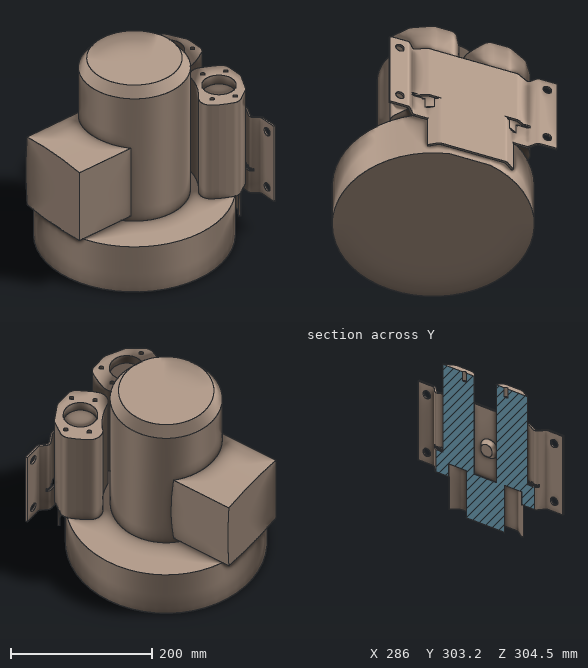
import cadquery as cq
import math


housing_radius = 143.0
housing_height = 78.0
housing_flat_y = 139.7

motor_radius = 79.5
cap_radius = 67.5
cap_height = 15.5
total_height = 304.5

box_front_y = -149.5
box_center_z = 145.2
box_half_height = 58.5
box_left_x = -58.5
box_right_x = 57.5
box_bulge = 3.5
box_side_bulge = 2.5

pipe_top = 239.5
pipe_x = 57.0
pipe_y = 108.5
pipe_half_width = 47.2
belly_half_width = 48.0
belly_start = -9.7
belly_end = 0.0
lobe_radius = 18.0
lobe_offset = 17.7
shoulder_outer = 19.5
crown_half_width = 17.5
crown_offset = 35.3
shoulder_radius = 14.5
bore_radius = 24.5
bore_depth = 15.2
screw_radius = 3.0
screw_spacing_wide = 63.3
screw_spacing_narrow = 33.5

sheet = 3.0
bend_radius = 6.0
bracket_bottom = 57.0
bracket_top = 187.0
tab_bottom = 3.7
slit_bottom = 94.5
slit_top = 98.3
slit_back_y = 143.0
ear_end_x = 127.5
ear_bend_x = 98.5
ear_y = 152.2
valley_x = 88.0
valley_y = 140.0
web_y = 150.0
upper_web_x = 68.2
lower_web_x = 50.5
tab_end_x = 64.8
mount_hole_x = 112.3
mount_hole_radius = 6.5
mount_hole_inset = 17.5

boss_base_radius = 16.5
boss_tip_radius = 10.0
boss_tip_y = 141.5


def make_housing():
    disc = cq.Workplane("XY").circle(housing_radius).extrude(housing_height)
    size = 2 * housing_radius
    keep = cq.Workplane("XY").box(size, size, housing_height, centered=(True, False, False))
    return disc.intersect(keep.translate((0, housing_flat_y - size, 0)))


def make_motor():
    body = cq.Workplane("XY").circle(motor_radius).extrude(total_height)
    return body.faces(">Z").chamfer(cap_height, motor_radius - cap_radius)


def make_terminal_box():
    low = box_center_z - box_half_height
    high = box_center_z + box_half_height
    middle_x = (box_left_x + box_right_x) / 2
    return (
        cq.Workplane("XZ")
        .moveTo(box_right_x, low)
        .lineTo(box_right_x, high)
        .threePointArc((middle_x, high + box_bulge), (box_left_x, high))
        .threePointArc((box_left_x - box_side_bulge, box_center_z), (box_left_x, low))
        .threePointArc((middle_x, low - box_bulge), (box_right_x, low))
        .close()
        .extrude(-box_front_y)
    )


def make_pipe():
    """Right-hand pipe, drawn with +Y pointing away from the motor, then swung into place."""
    motor_distance = math.hypot(pipe_x, pipe_y)
    lobe_x = pipe_half_width - lobe_radius
    lobe_rise = motor_distance - lobe_offset
    hollow_radius = math.hypot(lobe_x, lobe_rise) - lobe_radius
    lobe_angle = math.atan2(lobe_x, lobe_rise)
    hollow_end_x = hollow_radius * math.sin(lobe_angle)
    hollow_end_y = hollow_radius * math.cos(lobe_angle) - motor_distance
    middle_angle = -(math.pi / 2 - lobe_angle) / 2
    lobe_mid_x = lobe_x + lobe_radius * math.cos(middle_angle)
    lobe_mid_y = -lobe_offset + lobe_radius * math.sin(middle_angle)
    height = pipe_top - housing_height

    pipe = (
        cq.Workplane("XY")
        .moveTo(-hollow_end_x, hollow_end_y)
        .threePointArc((0, hollow_radius - motor_distance), (hollow_end_x, hollow_end_y))
        .threePointArc((lobe_mid_x, lobe_mid_y), (pipe_half_width, -lobe_offset))
        .lineTo(belly_half_width, belly_start)
        .lineTo(belly_half_width, belly_end)
        .lineTo(pipe_half_width, shoulder_outer)
        .lineTo(crown_half_width, crown_offset)
        .lineTo(-crown_half_width, crown_offset)
        .lineTo(-pipe_half_width, shoulder_outer)
        .lineTo(-belly_half_width, belly_end)
        .lineTo(-belly_half_width, belly_start)
        .lineTo(-pipe_half_width, -lobe_offset)
        .threePointArc((-lobe_mid_x, lobe_mid_y), (-hollow_end_x, hollow_end_y))
        .close()
        .extrude(height)
    )
    shoulders = cq.selectors.BoxSelector(
        (-2 * pipe_half_width, crown_offset / 2, 0), (2 * pipe_half_width, 2 * crown_offset, height)
    )
    pipe = pipe.edges("|Z").edges(shoulders).fillet(shoulder_radius)
    floor = cq.Workplane("XY").workplane(offset=height - bore_depth)
    screw_holes = floor.rarray(screw_spacing_wide, screw_spacing_narrow, 2, 2)
    pipe = pipe.cut(floor.circle(bore_radius).extrude(bore_depth))
    pipe = pipe.cut(screw_holes.circle(screw_radius).extrude(bore_depth))
    swing = math.degrees(math.atan2(pipe_x, pipe_y))
    pipe = pipe.translate((0, motor_distance, housing_height))
    return pipe.rotate((0, 0, 0), (0, 0, 1), -swing)


def bent_sheet(right_half, bottom, top):
    """Sheet of constant thickness along a bent line that is mirrored about X = 0."""
    left_half = [(-x, y) for x, y in reversed(right_half)]
    points = [cq.Vector(x, y, bottom) for x, y in left_half + right_half]
    path = cq.Workplane(cq.Wire.makePolygon(points).fillet(bend_radius))
    along = points[1] - points[0]
    start = cq.Plane(origin=points[0], xDir=(0, 0, 1), normal=along)
    height = top - bottom
    return cq.Workplane(start).center(height / 2, 0).rect(height, sheet).sweep(path)


def make_bracket():
    ear = [(valley_x, valley_y), (ear_bend_x, ear_y), (ear_end_x, ear_y)]
    foot = [(lower_web_x, web_y), (tab_end_x, valley_y)]
    bracket = bent_sheet([(upper_web_x, web_y)] + ear, slit_bottom, bracket_top)
    slit = cq.Workplane("XY").box(
        2 * ear_bend_x, slit_back_y, slit_top - slit_bottom, centered=(True, False, False)
    )
    bracket = bracket.cut(slit.translate((0, 0, slit_bottom)))
    bracket = bracket.union(bent_sheet(foot + ear, bracket_bottom, slit_bottom))
    bracket = bracket.union(bent_sheet(foot, tab_bottom, slit_bottom))
    mount_z = (bracket_bottom + mount_hole_inset, bracket_top - mount_hole_inset)
    holes = (
        cq.Workplane("XZ", origin=(0, ear_y - sheet, 0))
        .pushPoints([(side * mount_hole_x, z) for side in (-1, 1) for z in mount_z])
        .circle(mount_hole_radius)
        .extrude(-2 * sheet)
    )
    return bracket.cut(holes)


def make_boss():
    boss_center_z = (bracket_bottom + bracket_top) / 2
    height = web_y - boss_tip_y
    taper = cq.Solid.makeCone(
        boss_tip_radius,
        boss_base_radius,
        height,
        pnt=cq.Vector(0, boss_tip_y, boss_center_z),
        dir=cq.Vector(0, 1, 0),
    )
    return cq.Workplane(taper)


right_pipe = make_pipe()
left_pipe = right_pipe.mirror("YZ")

result = make_housing()
for part in (make_motor(), make_terminal_box(), right_pipe, left_pipe, make_bracket(), make_boss()):
    result = result.union(part)